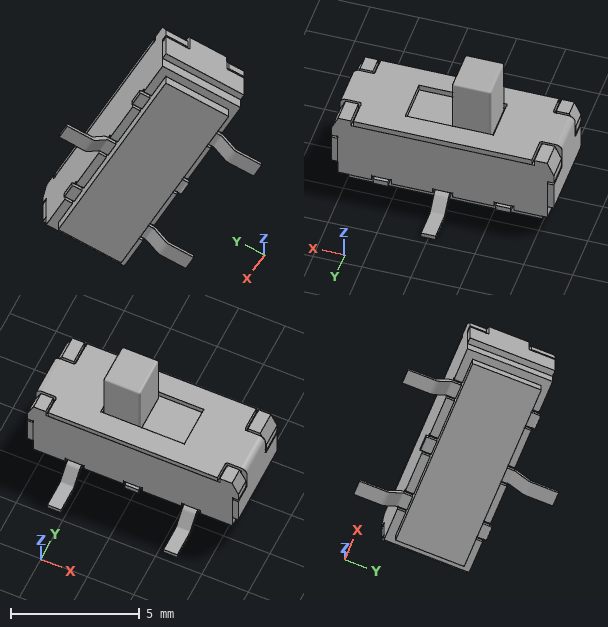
import cadquery as cq


length = 9.1
width = 3.6
knob_top = 5.8
terminal_span = 7.4

shell_thickness = 0.255
shell_bend_radius = 0.27
shell_top = 3.55
shell_end_bottom = 1.18
shell_under = shell_top - shell_thickness
inner_length = length - 2 * shell_thickness

slot_length = 3.6
slot_width = 1.8

housing_bottom = 0.6
block_length = 0.8
block_drop = 1.0
block_width_front = 0.7
block_width_back = 1.0
block_chamfer_run = 0.27
block_chamfer_drop = 0.6
block_gap = 0.1
notch_radius = 0.1

knob_length = 1.6
knob_width = 1.78
knob_x = -0.9
knob_fillet = 0.1

base_length = 7.935
base_width = 2.89
base_bottom = 0.1
base_top = 0.8

terminal_pitch = 2.5
terminal_width = 0.6
terminal_thickness = 0.2
terminal_top = 0.78
terminal_bend_y = 1.93
terminal_slope_run = 0.6
terminal_stub_y = 1.91
bend_inner_radius = 0.12
relief_width = 0.82

terminals = [(-terminal_pitch, -1), (0, 1), (terminal_pitch, -1)]

corners = [
    (x_side, y_side, block_width)
    for x_side in (-1, 1)
    for y_side, block_width in ((-1, block_width_front), (1, block_width_back))
]


def box_between(x_range, y_range, z_range):
    """Box from a pair of limits, in either order, along each axis."""
    sizes = [abs(b - a) for a, b in (x_range, y_range, z_range)]
    middles = [(a + b) / 2 for a, b in (x_range, y_range, z_range)]
    return cq.Workplane("XY").box(*sizes).translate(tuple(middles))


def centred_box(x_size, y_size, z_low, z_high):
    """Box centred on the Z axis between two heights."""
    return box_between((-x_size / 2, x_size / 2), (-y_size / 2, y_size / 2), (z_low, z_high))


def corner_notch(x_side, y_side, block_width):
    """Clearance in the shell's top and end around one corner block."""
    inner_x = x_side * (length / 2 - block_length - block_gap)
    inner_y = y_side * (width / 2 - block_width - block_gap)
    bottom = shell_top - block_drop - block_gap
    y_range = (inner_y, y_side * width / 2)
    x_inward = "<X" if x_side > 0 else ">X"
    y_inward = "<Y" if y_side > 0 else ">Y"

    top_part = box_between((inner_x, x_side * length / 2), y_range, (shell_under, shell_top))
    top_part = top_part.edges("|Z").edges(x_inward).edges(y_inward).fillet(notch_radius)

    end_part = box_between((x_side * inner_length / 2, x_side * length / 2), y_range, (bottom, shell_top))
    end_part = end_part.edges("|X").edges("<Z").edges(y_inward).fillet(notch_radius)
    return top_part.union(end_part)


def make_shell():
    """Top plate and two folded ends, with the knob slot and the corner notches."""
    shell = centred_box(length, width, shell_end_bottom, shell_top)
    shell = shell.edges("|Y").edges(">Z").fillet(shell_bend_radius)
    shell = shell.cut(centred_box(inner_length, width, shell_end_bottom, shell_under))
    shell = shell.cut(centred_box(slot_length, slot_width, shell_under, shell_top))
    for corner in corners:
        shell = shell.cut(corner_notch(*corner))
    return shell


def corner_block(x_side, y_side, block_width):
    """Block at one corner of the housing, chamfered on its outer top edge."""
    inner_x = x_side * (length / 2 - block_length)
    outer_x = x_side * length / 2
    profile = [
        (inner_x, shell_top - block_drop),
        (outer_x, shell_top - block_drop),
        (outer_x, shell_top - block_chamfer_drop),
        (outer_x - x_side * block_chamfer_run, shell_top),
        (inner_x, shell_top),
    ]
    start_y = -width / 2 if y_side < 0 else width / 2 - block_width
    block = cq.Workplane("XZ").polyline(profile).close().extrude(-block_width)
    return block.translate((0, start_y, 0))


def make_housing():
    """Block with four corner blocks, a recess for the base and reliefs for the terminals."""
    housing = centred_box(inner_length, width, housing_bottom, shell_under)
    for corner in corners:
        housing = housing.union(corner_block(*corner))
    housing = housing.cut(centred_box(base_length, base_width, housing_bottom, base_top))
    for x, _ in terminals:
        relief = centred_box(relief_width, width, housing_bottom, base_top)
        housing = housing.cut(relief.translate((x, 0, 0)))
    return housing


def make_knob():
    """Rounded post standing in the slot on top of the housing."""
    knob = centred_box(knob_length, knob_width, shell_under, knob_top)
    knob = knob.edges("|Z or >Z").fillet(knob_fillet)
    return knob.translate((knob_x, 0, 0))


def terminal_half():
    """Gull-wing strip from the middle of the switch out to the tip of its foot, toward +Y."""
    slope = cq.Vector(terminal_slope_run, terminal_thickness - terminal_top)
    corner_shift = terminal_thickness * (slope.Length - slope.x) / -slope.y
    foot_y = terminal_bend_y + terminal_slope_run
    tip_y = terminal_span / 2
    upper_bottom = terminal_top - terminal_thickness
    upper_outer = (terminal_bend_y, terminal_top)
    upper_inner = (terminal_bend_y - corner_shift, upper_bottom)
    lower_inner = (foot_y, terminal_thickness)
    lower_outer = (foot_y - corner_shift, 0)
    profile = [
        (0, terminal_top),
        upper_outer,
        lower_inner,
        (tip_y, terminal_thickness),
        (tip_y, 0),
        lower_outer,
        upper_inner,
        (0, upper_bottom),
    ]
    strip = cq.Workplane("YZ").polyline(profile).close().extrude(terminal_width / 2, both=True)

    outer_radius = bend_inner_radius + terminal_thickness
    bends = [
        (upper_outer, outer_radius),
        (upper_inner, bend_inner_radius),
        (lower_inner, bend_inner_radius),
        (lower_outer, outer_radius),
    ]
    for (y, z), radius in bends:
        strip = strip.edges(cq.selectors.NearestToPointSelector((0, y, z))).fillet(radius)
    return strip


def terminal(x, leg_side):
    """Terminal with its full leg on one side and the cut-off start of the bend on the other."""
    leg = terminal_half()
    stub = leg.intersect(centred_box(terminal_width, 2 * terminal_stub_y, 0, terminal_top))
    strip = leg.union(stub.mirror("XZ"))
    if leg_side < 0:
        strip = strip.mirror("XZ")
    return strip.translate((x, 0, 0))


def make_base():
    """Base block with the three terminals moulded into it."""
    base = centred_box(base_length, base_width, base_bottom, base_top)
    for x, leg_side in terminals:
        base = base.union(terminal(x, leg_side))
    return base


shell = make_shell()
housing = make_housing()
knob = make_knob()
base = make_base()

result = cq.Compound.makeCompound([shell.val(), housing.val(), knob.val(), base.val()])